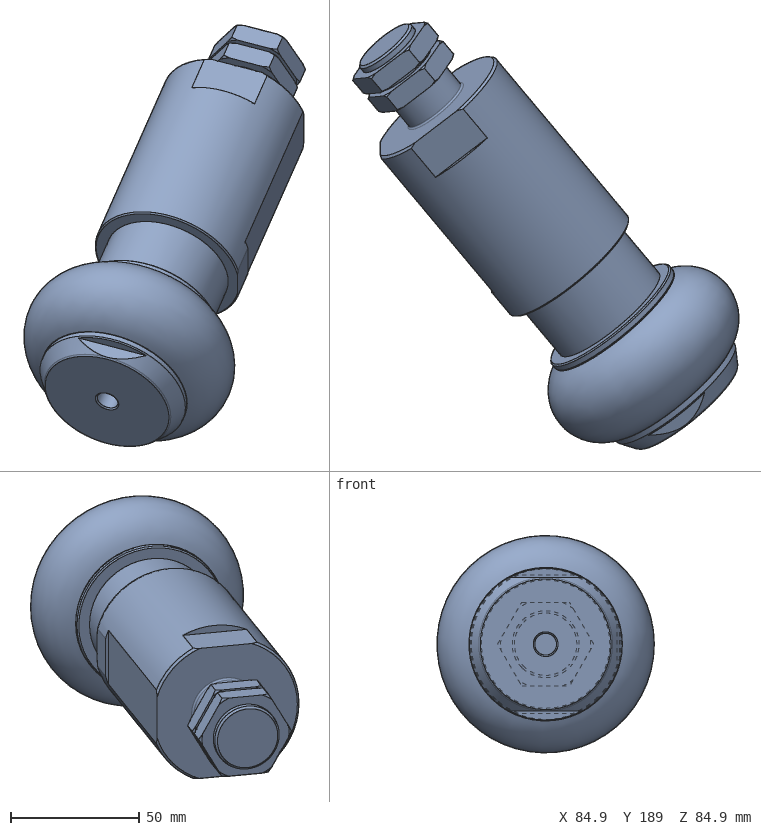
import cadquery as cq
import math

CAP_CONE_END = 6.8
CAP_TOP = 9.0
ROLLER_TOP = 44.8
FLANGE_TOP = 48.0
BARREL_BOTTOM = 73.1
KEY_STEP = 85.6
WRENCH_FLAT_BOTTOM = 140.8
BARREL_TOP = 156.9
STUD_END = 189.0
NUT_BOTTOMS = (168.4, 178.0)

BARREL_DIA = 60.0
SHAFT_DIA = 50.0
STUD_DIA = 26.0
STUD_TIP_DIA = 24.4
STUD_TIP_LENGTH = (STUD_DIA - STUD_TIP_DIA) / 2
STUD_ROOT_FILLET = 0.8
BARREL_CHAMFER = 1.0
EDGE_CHAMFER = 0.5
WRENCH_FLAT_DISTANCE = 27.0
KEY_FLAT_DISTANCE = 27.8
GUIDE_FLAT_DISTANCE = 29.0

ROLLER_DIA = 84.9
ROLLER_CROWN_RADIUS = 18.9

CAP_DIA = BARREL_DIA
CAP_CONE_DIA = 52.2
CAP_FLAT_DISTANCE = 26.0
CAP_FLAT_TOP = 6.2
CAP_HOLE_DIA = 8.5
CAP_HOLE_CHAMFER = 0.5

NUT_ACROSS_FLATS = 32.5
NUT_THICKNESS = 8.0
NUT_FACE_DIA = 35.2
NUT_CHAMFER_ANGLE = 30


def turned(points):
    """Revolve a closed outline of (radius, Y) points about the Y axis."""
    return cq.Workplane("XY").polyline(points).close().revolve(360, (0, 0, 0), (0, 1, 0))


def block(x_min, x_max, y_min, y_max, z_min, z_max):
    size = (x_max - x_min, y_max - y_min, z_max - z_min)
    return cq.Workplane("XY").box(*size, centered=False).translate((x_min, y_min, z_min))


def outside_flats(distance, y_min, y_max):
    """Waste beyond a pair of flats facing +Z and -Z."""
    reach = BARREL_DIA
    upper = block(-reach, reach, y_min, y_max, distance, reach)
    lower = block(-reach, reach, y_min, y_max, -reach, -distance)
    return upper.union(lower)


def make_stud_pin():
    """Shaft, flange, barrel and stud turned in one piece."""
    shaft = SHAFT_DIA / 2
    barrel = BARREL_DIA / 2
    stud = STUD_DIA / 2
    fillet_mid = STUD_ROOT_FILLET * (1 - math.sqrt(0.5))
    pin = (
        cq.Workplane("XY")
        .moveTo(0, CAP_TOP)
        .lineTo(shaft, CAP_TOP)
        .lineTo(shaft, ROLLER_TOP)
        .lineTo(barrel - EDGE_CHAMFER, ROLLER_TOP)
        .lineTo(barrel, ROLLER_TOP + EDGE_CHAMFER)
        .lineTo(barrel, FLANGE_TOP - EDGE_CHAMFER)
        .lineTo(barrel - EDGE_CHAMFER, FLANGE_TOP)
        .lineTo(shaft, FLANGE_TOP)
        .lineTo(shaft, BARREL_BOTTOM)
        .lineTo(barrel - EDGE_CHAMFER, BARREL_BOTTOM)
        .lineTo(barrel, BARREL_BOTTOM + EDGE_CHAMFER)
        .lineTo(barrel, BARREL_TOP - BARREL_CHAMFER)
        .lineTo(barrel - BARREL_CHAMFER, BARREL_TOP)
        .lineTo(stud + STUD_ROOT_FILLET, BARREL_TOP)
        .threePointArc(
            (stud + fillet_mid, BARREL_TOP + fillet_mid),
            (stud, BARREL_TOP + STUD_ROOT_FILLET),
        )
        .lineTo(stud, STUD_END - STUD_TIP_LENGTH)
        .lineTo(STUD_TIP_DIA / 2, STUD_END)
        .lineTo(0, STUD_END)
        .close()
        .revolve(360, (0, 0, 0), (0, 1, 0))
    )
    guide_flat = block(GUIDE_FLAT_DISTANCE, BARREL_DIA, BARREL_BOTTOM, KEY_STEP, -barrel, barrel)
    key_flat = block(KEY_FLAT_DISTANCE, BARREL_DIA, KEY_STEP, BARREL_TOP, -barrel, barrel)
    wrench_flats = outside_flats(WRENCH_FLAT_DISTANCE, WRENCH_FLAT_BOTTOM, BARREL_TOP)
    return pin.cut(guide_flat).cut(key_flat).cut(wrench_flats)


def make_roller():
    """Crowned ring held between the flange and the cap."""
    half_width = (ROLLER_TOP - CAP_TOP) / 2
    middle = CAP_TOP + half_width
    crown_center = ROLLER_DIA / 2 - ROLLER_CROWN_RADIUS
    side_radius = crown_center + math.sqrt(ROLLER_CROWN_RADIUS**2 - half_width**2)
    return (
        cq.Workplane("XY")
        .moveTo(SHAFT_DIA / 2, CAP_TOP)
        .lineTo(side_radius, CAP_TOP)
        .threePointArc((ROLLER_DIA / 2, middle), (side_radius, ROLLER_TOP))
        .lineTo(SHAFT_DIA / 2, ROLLER_TOP)
        .close()
        .revolve(360, (0, 0, 0), (0, 1, 0))
    )


def make_cap():
    """Conical end cap with two wrench flats and a central hole."""
    hole = CAP_HOLE_DIA / 2
    cone = CAP_CONE_DIA / 2
    cap = turned([
        (hole + CAP_HOLE_CHAMFER, 0),
        (cone - EDGE_CHAMFER, 0),
        (cone, EDGE_CHAMFER),
        (CAP_DIA / 2, CAP_CONE_END),
        (CAP_DIA / 2, CAP_TOP),
        (hole, CAP_TOP),
        (hole, CAP_HOLE_CHAMFER),
    ])
    return cap.cut(outside_flats(CAP_FLAT_DISTANCE, 0, CAP_FLAT_TOP))


def make_nut(bottom):
    """Hexagon nut with chamfered corners and two flats facing +Z and -Z."""
    corner = NUT_ACROSS_FLATS / math.sqrt(3)
    face = NUT_FACE_DIA / 2
    drop = (corner - face) * math.tan(math.radians(NUT_CHAMFER_ANGLE))
    hexagon = (
        cq.Workplane("XZ", origin=(0, bottom, 0))
        .polygon(6, 2 * corner)
        .extrude(-NUT_THICKNESS)
    )
    top = bottom + NUT_THICKNESS
    envelope = turned([
        (STUD_DIA / 2, bottom),
        (face, bottom),
        (corner, bottom + drop),
        (corner, top - drop),
        (face, top),
        (STUD_DIA / 2, top),
    ])
    return hexagon.intersect(envelope)


stud_pin = make_stud_pin()
roller = make_roller()
cap = make_cap()
nuts = [make_nut(bottom) for bottom in NUT_BOTTOMS]

result = cq.Compound.makeCompound([
    stud_pin.val(),
    roller.val(),
    cap.val(),
    *[nut.val() for nut in nuts],
])